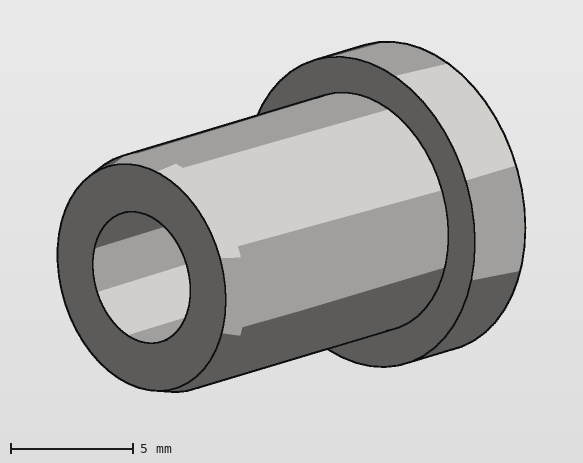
import cadquery as cq
import math

total_length = 16.0
head_diameter = 13.0
head_thickness = 3.0
shank_diameter = 10.0
bore_diameter = 5.5

taper_length = 0.93
taper_angle = 15.0

head_radius = head_diameter / 2
shank_radius = shank_diameter / 2
bore_radius = bore_diameter / 2
tip_radius = shank_radius - taper_length * math.tan(math.radians(taper_angle))
head_underside = total_length - head_thickness

half_section = [
    (bore_radius, 0),
    (tip_radius, 0),
    (shank_radius, taper_length),
    (shank_radius, head_underside),
    (head_radius, head_underside),
    (head_radius, total_length),
    (bore_radius, total_length),
]

result = cq.Workplane("XY").polyline(half_section).close().revolve(360, (0, 0, 0), (0, 1, 0))